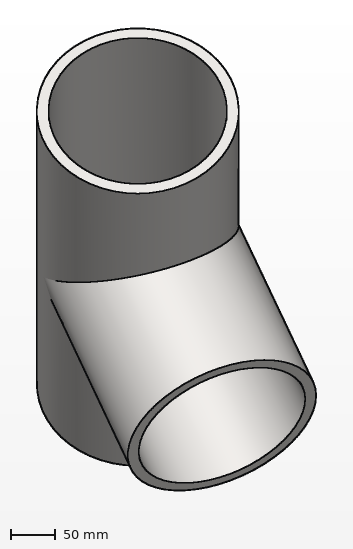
import cadquery as cq

run_length = 527.0
pipe_diameter = 225.0
wall_thickness = 13.0
overall_width = 372.5

pipe_radius = pipe_diameter / 2
bore_radius = pipe_radius - wall_thickness
branch_reach = overall_width - pipe_radius


def tee_of_cylinders(radius):
    """Run along Z, centred on the origin, joined to a branch along +X."""
    run = cq.Workplane("XY").circle(radius).extrude(run_length / 2, both=True)
    branch = cq.Workplane("YZ").circle(radius).extrude(branch_reach)
    return run.union(branch)


result = tee_of_cylinders(pipe_radius).cut(tee_of_cylinders(bore_radius))